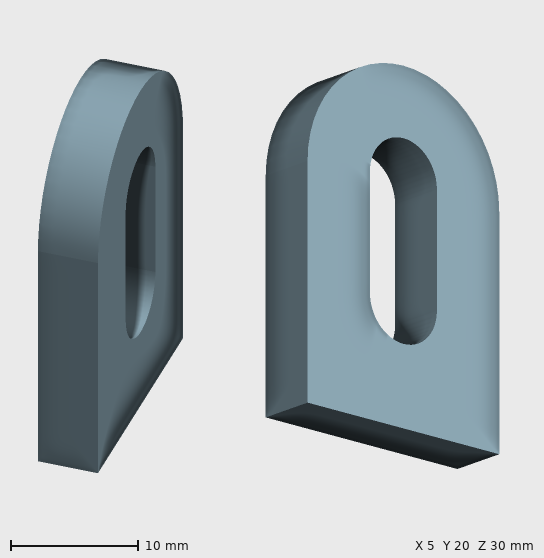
import cadquery as cq

height = 30.0
width = 20.0
thickness = 5.0

slot_width = 7.0
slot_length = 17.0
slot_bottom = 7.0

shoulder_height = height - width / 2
slot_center_height = slot_bottom + slot_length / 2


def plate():
    """Upright plate with a flat base and a full-round top, centred on X and Y."""
    return (
        cq.Workplane("YZ", origin=(-thickness / 2, 0, 0))
        .moveTo(-width / 2, 0)
        .lineTo(width / 2, 0)
        .lineTo(width / 2, shoulder_height)
        .threePointArc((0, height), (-width / 2, shoulder_height))
        .close()
        .extrude(thickness)
    )


def slot():
    """Vertical round-ended slot running through the full thickness."""
    return (
        cq.Workplane("YZ", origin=(-thickness / 2, 0, 0))
        .center(0, slot_center_height)
        .slot2D(slot_length, slot_width, angle=90)
        .extrude(thickness)
    )


result = plate().cut(slot())